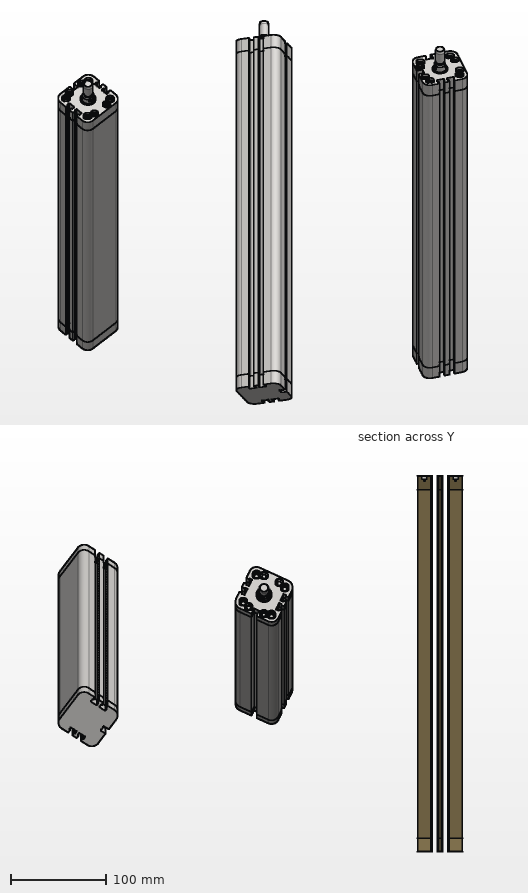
import cadquery as cq

WIDTH = 49.0
HALF_WIDTH = WIDTH / 2
CORNER_RADIUS = 8.0
TOTAL_HEIGHT = 419.5
DECK_Z = 394.0
CAP_HEIGHT = 14.3
TUBE_TOP_Z = DECK_Z - CAP_HEIGHT
TUBE_HEIGHT = TUBE_TOP_Z - CAP_HEIGHT

T_SLOT_X = 5.5
T_SLOT_MOUTH = 5.5
T_SLOT_WIDTH = 7.5
T_SLOT_LIP = 3.5
T_SLOT_DEPTH = 6.5
TUBE_SLOT_FLOOR_RADIUS = 1.3

GROOVE_WIDTH = 6.0
GROOVE_DEPTH = 6.5

MOUNT_OFFSET = 16.5
MOUNT_COUNTERBORE_DIAMETER = 9.0
MOUNT_COUNTERBORE_DEPTH = 3.5
MOUNT_BORE_DIAMETER = 7.5
MOUNT_BORE_DEPTH = 1.5
MOUNT_PILOT_DIAMETER = 5.0
MOUNT_PILOT_DEPTH = 3.5

SCREW_X = 19.0
SCREW_Y = 9.0
SCREW_RECESS_DIAMETER = 8.5
SCREW_RECESS_DEPTH = 3.5
SOCKET_DIAMETER = 5.0
SOCKET_DEPTH = 2.5

ROD_MOUTH_DIAMETER = 14.0
ROD_MOUTH_DEPTH = 1.0
RING_GROOVE_DIAMETER = 16.5
RING_GROOVE_DEPTH = 2.5

ROD_DIAMETER = 12.0
ROD_SHOULDER_Z = 399.8
FLAT_WIDTH = 10.0
FLAT_BOTTOM_Z = 396.0
NECK_DIAMETER = 8.5
NECK_BOTTOM_Z = 401.0
NECK_TOP_Z = 402.5
THREAD_DIAMETER = 10.0
THREAD_BOTTOM_Z = 403.5
TIP_DIAMETER = 8.5
TIP_HEIGHT = 3.0


def t_slot(length, floor_radius):
    """One T-slot opening at y = 0 and running into +Y."""
    mouth = cq.Workplane("XY").box(T_SLOT_MOUTH, T_SLOT_LIP, length, centered=(True, False, False))
    chamber_depth = T_SLOT_DEPTH - T_SLOT_LIP
    chamber = cq.Workplane("XY").box(T_SLOT_WIDTH, chamber_depth, length, centered=(True, False, False))
    if floor_radius > 0:
        chamber = chamber.edges("|Z and >Y").fillet(floor_radius)
    return mouth.union(chamber.translate((0, T_SLOT_LIP, 0)))


def profile_block(bottom_z, length, slot_floor_radius=0):
    """A length of the slotted square section."""
    block = cq.Workplane("XY").rect(WIDTH, WIDTH).extrude(length).edges("|Z").fillet(CORNER_RADIUS)
    slot = t_slot(length, slot_floor_radius)
    for x in (-T_SLOT_X, T_SLOT_X):
        front_slot = slot.translate((x, -HALF_WIDTH, 0))
        block = block.cut(front_slot).cut(front_slot.mirror("XZ"))
    groove = cq.Workplane("XY").box(GROOVE_DEPTH, GROOVE_WIDTH, length, centered=(False, True, False))
    block = block.cut(groove.translate((-HALF_WIDTH, 0, 0)))
    return block.translate((0, 0, bottom_z))


def round_cut(diameter, depth, start_depth=0):
    """A round cutter on the Z axis that starts below the deck and runs down."""
    return cq.Workplane("XY", origin=(0, 0, DECK_Z - start_depth)).circle(diameter / 2).extrude(-depth)


def rod_opening():
    mouth = round_cut(ROD_MOUTH_DIAMETER, ROD_MOUTH_DEPTH)
    ring_groove = round_cut(RING_GROOVE_DIAMETER, RING_GROOVE_DEPTH, ROD_MOUTH_DEPTH)
    rod_hole = round_cut(ROD_DIAMETER, CAP_HEIGHT)
    return mouth.union(ring_groove).union(rod_hole)


def mount_hole():
    """Three round steps that get narrower going down."""
    counterbore = round_cut(MOUNT_COUNTERBORE_DIAMETER, MOUNT_COUNTERBORE_DEPTH)
    bore = round_cut(MOUNT_BORE_DIAMETER, MOUNT_BORE_DEPTH, MOUNT_COUNTERBORE_DEPTH)
    pilot_start = MOUNT_COUNTERBORE_DEPTH + MOUNT_BORE_DEPTH
    pilot = round_cut(MOUNT_PILOT_DIAMETER, MOUNT_PILOT_DEPTH, pilot_start)
    return counterbore.union(bore).union(pilot)


def screw_recess():
    recess = round_cut(SCREW_RECESS_DIAMETER, SCREW_RECESS_DEPTH)
    socket_top = cq.Workplane("XY", origin=(0, 0, DECK_Z - SCREW_RECESS_DEPTH))
    return recess.union(socket_top.polygon(6, SOCKET_DIAMETER).extrude(-SOCKET_DEPTH))


def make_top_cap():
    cap = profile_block(TUBE_TOP_Z, CAP_HEIGHT).cut(rod_opening())
    for x_side in (-1, 1):
        for y_side in (-1, 1):
            cap = cap.cut(mount_hole().translate((x_side * MOUNT_OFFSET, y_side * MOUNT_OFFSET, 0)))
            cap = cap.cut(screw_recess().translate((x_side * SCREW_X, y_side * SCREW_Y, 0)))
    return cap


def flats_cutter():
    """Two blocks, one on each side of the rod, that leave a pair of wrench flats facing -X and +X."""
    height = THREAD_BOTTOM_Z - FLAT_BOTTOM_Z
    base = cq.Workplane("XY", origin=(0, 0, FLAT_BOTTOM_Z))
    outer = base.rect(2 * ROD_DIAMETER, ROD_DIAMETER).extrude(height)
    kept_core = base.rect(FLAT_WIDTH, ROD_DIAMETER).extrude(height)
    return outer.cut(kept_core)


def make_rod():
    rod_radius = ROD_DIAMETER / 2
    neck_radius = NECK_DIAMETER / 2
    thread_radius = THREAD_DIAMETER / 2
    half_section = cq.Workplane("XZ").polyline(
        [
            (0, TUBE_TOP_Z),
            (rod_radius, TUBE_TOP_Z),
            (rod_radius, ROD_SHOULDER_Z),
            (neck_radius, NECK_BOTTOM_Z),
            (neck_radius, NECK_TOP_Z),
            (thread_radius, THREAD_BOTTOM_Z),
            (thread_radius, TOTAL_HEIGHT - TIP_HEIGHT),
            (TIP_DIAMETER / 2, TOTAL_HEIGHT),
            (0, TOTAL_HEIGHT),
        ]
    )
    return half_section.close().revolve(360, (0, 0, 0), (0, 1, 0)).cut(flats_cutter())


bottom_cap = profile_block(0, CAP_HEIGHT)
tube = profile_block(CAP_HEIGHT, TUBE_HEIGHT, TUBE_SLOT_FLOOR_RADIUS)
top_cap = make_top_cap()
rod = make_rod()
result = cq.Compound.makeCompound([bottom_cap.val(), tube.val(), top_cap.val(), rod.val()])